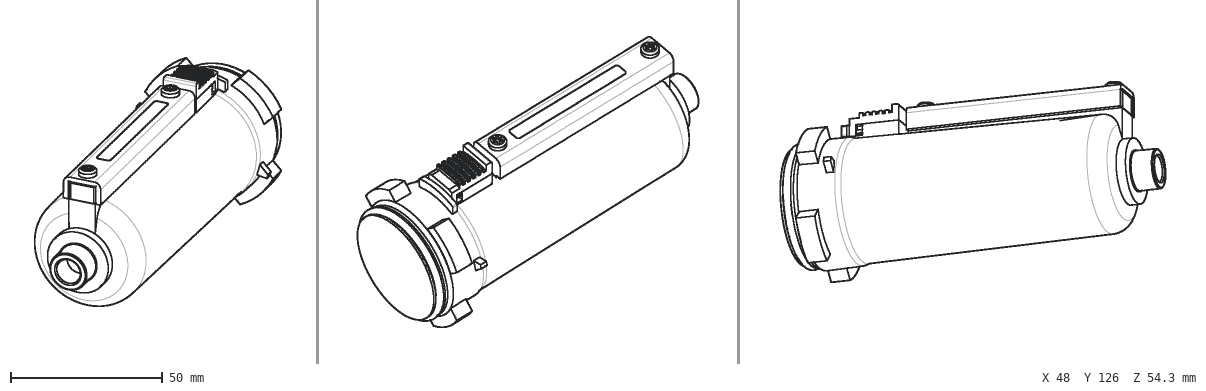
import cadquery as cq
import math

LENGTH = 126.0

SPOUT_RADIUS = 6.7
SPOUT_CHAMFER = 0.4
SPOUT_COLLAR_RADIUS = 6.9
SPOUT_COLLAR_LENGTH = 0.4
BORE_RADIUS = 8.6 / 2
BORE_CHAMFER = 0.5
BORE_DEPTH = 8.8
FLANGE_RADIUS = 22.0 / 2
FLANGE_START = 8.0
FLANGE_END = 11.2
DOME_RADIUS = 15.9
DOME_Y = 12.7
DOME_SIDE_Y = 18.4
DOME_TURN = math.radians(73)
WALL_RADIUS_LOW = 19.9
WALL_RADIUS_HIGH = 41.7 / 2
SHOULDER_START = 104.3
SHOULDER_END = 106.2
COLLAR_RADIUS = 43.3 / 2
COLLAR_RADIUS_LOW = 21.4
NECK_TAPER_START = 119.3
NECK_TAPER_END = 121.0
NECK_RADIUS = 20.7
LIP_RADIUS = 39.0 / 2

GROOVE_RADIUS = 37.9 / 2
GROOVE_START = 122.0
GROOVE_END = 125.1
RING_SECTION_RADIUS = 1.3
RING_OUTER_RADIUS = 21.0
RING_Y = 123.6

LUG_RADIUS = 25.8
LUG_WIDTH = 16.9
LUG_BAR_ANGLES = (45, 135)
LUG_START = 112.5
LUG_END = 119.2
EAR_START = 106.7
EAR_END = 109.2
EAR_SPAN = 48.0
EAR_TIP = [(-EAR_SPAN / 2, 7.0), (-23.5, 8.6)]
EAR_ROOT = [(-20.2, 8.0), (-20.2, 3.0)]

RAIL_START = FLANGE_END
RAIL_END = 86.4
RAIL_WIDTH = 13.5
RAIL_TOP = 29.0
RAIL_BOTTOM = 20.9
RAIL_ROUND = 2.3
PILLAR_WIDTH = 9.6
CHANNEL_WIDTH = 10.1
CHANNEL_TOP = 27.3
CHANNEL_DEPTH = 1.3
INSERT_WIDTH = 9.5
INSERT_CHAMFER = 0.5
INSERT_SETBACK = 0.1
WINDOW_WIDTH = 5.0
WINDOW_START = 27.8
WINDOW_END = 75.1
WINDOW_ROUND = 1.0
WINDOW_DEPTH = 0.1

SCREW_Y = [15.8, 81.8]
SCREW_RADIUS = 6.0 / 2
SCREW_TOP = 31.1
SCREW_CHAMFER = 0.8
SOCKET_RADIUS = 1.0
SOCKET_LOBES = 6
LOBE_RADIUS = 0.44
LOBE_DISTANCE = 1.3
FIRST_LOBE_ANGLE = 90
SOCKET_DEPTH = 1.0

LATCH_WIDTH = 11.8
BOSS_START = 89.2
BOSS_END = 102.0
BOSS_TOP = 24.7
BOSS_BASE_TOP = 20.8
LEG_START = 104.5
LEG_END = 106.6
LEG_TOP = 27.5
LEG_CHAMFER_WIDTH = 1.5
LEG_CHAMFER_HEIGHT = 0.5
CORE_WIDTH = 8.1
GRIP_WALL_END = 91.7
GRIP_WALL_TOP = 30.4
GRIP_WALL_ROUND = 0.8
GRIP_END = 103.2
GRIP_FLOOR_RADIUS = 28.2
TOOTH_RADIUS = 29.2
TOOTH_COUNT = 5
TOOTH_LENGTH = 1.3
TOOTH_PITCH = 2.3
TOOTH_CHAMFER = 0.3
TAB_WIDTH = 17.1
TAB_END = 108.5
TAB_TOP_RADIUS = 25.3
TAB_ROUND = 0.5
TONGUE_WIDTH = 10.1
TONGUE_BOTTOM = 21.9
TONGUE_TOP = 23.0


def cylinder(radius, start, end):
    """Solid cylinder around the bowl axis, between two places along Y."""
    return cq.Workplane("XZ", origin=(0, start, 0)).circle(radius).extrude(start - end)


def block(width, start, end, bottom, top):
    """Box centred on X = 0, given by its Y and Z limits."""
    floor = cq.Workplane("XY", origin=(0, start, bottom))
    return floor.box(width, end - start, top - bottom, centered=(True, False, False))


def crowned_block(width, start, end, bottom, top_radius):
    """Box whose top follows a cylinder around the bowl axis."""
    return block(width, start, end, bottom, top_radius).intersect(cylinder(top_radius, start, end))


def make_bowl_shell():
    """Turned body of the bowl, with the drain bore in its spout."""
    turn_radius = (DOME_SIDE_Y - DOME_Y) / math.sin(DOME_TURN)
    half_turn = DOME_TURN / 2
    dome_middle = (
        WALL_RADIUS_LOW - turn_radius * (1 - math.cos(half_turn)),
        DOME_SIDE_Y - turn_radius * math.sin(half_turn),
    )
    collar_end = FLANGE_START - SPOUT_COLLAR_LENGTH
    shell = (
        cq.Workplane("XY")
        .moveTo(0, 0)
        .lineTo(SPOUT_RADIUS - SPOUT_CHAMFER, 0)
        .lineTo(SPOUT_RADIUS, SPOUT_CHAMFER)
        .lineTo(SPOUT_RADIUS, collar_end)
        .lineTo(SPOUT_COLLAR_RADIUS, collar_end)
        .lineTo(SPOUT_COLLAR_RADIUS, FLANGE_START)
        .lineTo(FLANGE_RADIUS, FLANGE_START)
        .lineTo(FLANGE_RADIUS, FLANGE_END)
        .lineTo(DOME_RADIUS, DOME_Y)
        .threePointArc(dome_middle, (WALL_RADIUS_LOW, DOME_SIDE_Y))
        .lineTo(WALL_RADIUS_HIGH, SHOULDER_START)
        .lineTo(COLLAR_RADIUS_LOW, SHOULDER_END)
        .lineTo(COLLAR_RADIUS, NECK_TAPER_START)
        .lineTo(NECK_RADIUS, NECK_TAPER_END)
        .lineTo(NECK_RADIUS, GROOVE_START)
        .lineTo(GROOVE_RADIUS, GROOVE_START)
        .lineTo(GROOVE_RADIUS, GROOVE_END)
        .lineTo(LIP_RADIUS, GROOVE_END)
        .lineTo(LIP_RADIUS, LENGTH)
        .lineTo(0, LENGTH)
        .close()
        .revolve(360, (0, 0, 0), (0, 1, 0))
    )
    bore = cylinder(BORE_RADIUS, 0, BORE_DEPTH)
    mouth = (
        cq.Workplane("XY")
        .polyline([(0, 0), (BORE_RADIUS + BORE_CHAMFER, 0), (BORE_RADIUS, BORE_CHAMFER), (0, BORE_CHAMFER)])
        .close()
        .revolve(360, (0, 0, 0), (0, 1, 0))
    )
    return shell.cut(bore).cut(mouth)


def make_lugs():
    """Four lugs, formed by two crossed bars trimmed to a cylinder."""
    cross = cq.Workplane("XY")
    for angle in LUG_BAR_ANGLES:
        bar = block(2 * LUG_RADIUS, LUG_START, LUG_END, -LUG_WIDTH / 2, LUG_WIDTH / 2)
        cross = cross.add(bar.rotate((0, 0, 0), (0, 1, 0), angle))
    return cross.combine().intersect(cylinder(LUG_RADIUS, LUG_START, LUG_END))


def make_ears():
    """Two locking ears on opposite sides of the collar."""
    ear = cq.Workplane("XZ", origin=(0, EAR_START, 0)).polyline(EAR_TIP + EAR_ROOT).close()
    ear = ear.extrude(EAR_START - EAR_END)
    return ear.union(ear.rotate((0, 0, 0), (0, 1, 0), 180))


def make_screw_head(y):
    """Chamfered screw head with a lobed socket."""
    head = cq.Workplane("XY", origin=(0, y, RAIL_TOP)).circle(SCREW_RADIUS).extrude(SCREW_TOP - RAIL_TOP)
    head = head.faces(">Z").chamfer(SCREW_CHAMFER)
    floor = cq.Workplane("XY", origin=(0, y, SCREW_TOP - SOCKET_DEPTH))
    socket = floor.circle(SOCKET_RADIUS).extrude(SOCKET_DEPTH)
    lobes = floor.polarArray(LOBE_DISTANCE, FIRST_LOBE_ANGLE, 360, SOCKET_LOBES).circle(LOBE_RADIUS)
    lobes = lobes.extrude(SOCKET_DEPTH)
    return head.cut(socket.union(lobes))


def make_gauge_rail():
    """Rounded cover on a narrower pillar, with a window, a framed end insert and two screw heads."""
    cover = block(RAIL_WIDTH, RAIL_START, RAIL_END, RAIL_BOTTOM, RAIL_TOP)
    cover = cover.edges("|Y and >Z").fillet(RAIL_ROUND)
    channel = block(CHANNEL_WIDTH, RAIL_START, RAIL_START + CHANNEL_DEPTH, RAIL_BOTTOM, CHANNEL_TOP)
    insert_start = RAIL_START + INSERT_SETBACK
    insert = block(INSERT_WIDTH, insert_start, RAIL_START + CHANNEL_DEPTH, RAIL_BOTTOM, CHANNEL_TOP)
    insert = insert.faces("<Y").edges("not <Z").chamfer(INSERT_CHAMFER)
    window = block(WINDOW_WIDTH, WINDOW_START, WINDOW_END, RAIL_TOP - WINDOW_DEPTH, RAIL_TOP)
    window = window.edges("|Z").fillet(WINDOW_ROUND)
    pillar = block(PILLAR_WIDTH, RAIL_START, RAIL_END, 0, RAIL_BOTTOM)
    rail = cover.cut(channel).union(insert).cut(window).union(pillar)
    for y in SCREW_Y:
        rail = rail.union(make_screw_head(y))
    return rail


def make_boss():
    """Block that carries the latch, with a low base reaching under the latch leg."""
    base = block(LATCH_WIDTH, BOSS_START, LEG_END, 0, BOSS_BASE_TOP)
    return base.union(block(LATCH_WIDTH, BOSS_START, BOSS_END, 0, BOSS_TOP))


def make_bowl():
    """Bowl with everything that is fixed to it."""
    bowl = make_bowl_shell()
    for feature in (make_lugs(), make_ears(), make_gauge_rail(), make_boss()):
        bowl = bowl.union(feature)
    return bowl


def make_o_ring():
    """Round-section ring whose inner side lies flat on the groove floor."""
    floor_depth = RING_OUTER_RADIUS - RING_SECTION_RADIUS - GROOVE_RADIUS
    half_flat = math.sqrt(RING_SECTION_RADIUS**2 - floor_depth**2)
    return (
        cq.Workplane("XY")
        .moveTo(GROOVE_RADIUS, RING_Y - half_flat)
        .threePointArc((RING_OUTER_RADIUS, RING_Y), (GROOVE_RADIUS, RING_Y + half_flat))
        .close()
        .revolve(360, (0, 0, 0), (0, 1, 0))
    )


def make_grip():
    """Ribbed thumb grip with a raised wall at its end."""
    grip = crowned_block(LATCH_WIDTH, BOSS_START, GRIP_END, BOSS_TOP, GRIP_FLOOR_RADIUS)
    wall = block(LATCH_WIDTH, BOSS_START, GRIP_WALL_END, BOSS_TOP, GRIP_WALL_TOP)
    grip = grip.union(wall.edges("<Y and >Z").fillet(GRIP_WALL_ROUND))
    for index in range(TOOTH_COUNT):
        tooth_end = GRIP_END - index * TOOTH_PITCH
        tooth = crowned_block(LATCH_WIDTH, tooth_end - TOOTH_LENGTH, tooth_end, BOSS_TOP, TOOTH_RADIUS)
        grip = grip.union(tooth.edges("%CIRCLE").chamfer(TOOTH_CHAMFER))
    return grip


def make_leg():
    """Leg in front of the boss, with a narrow core and a tongue reaching back to the boss."""
    top = block(LATCH_WIDTH, GRIP_END, LEG_END, BOSS_TOP, LEG_TOP)
    top = top.faces(">Z").edges("|Y").chamfer(LEG_CHAMFER_HEIGHT, LEG_CHAMFER_WIDTH)
    bridge = block(LATCH_WIDTH, BOSS_END, GRIP_END, BOSS_TOP, LEG_TOP - LEG_CHAMFER_HEIGHT)
    leg = block(LATCH_WIDTH, LEG_START, LEG_END, BOSS_BASE_TOP, BOSS_TOP)
    core = block(CORE_WIDTH, BOSS_END, LEG_START, BOSS_BASE_TOP, BOSS_TOP)
    tongue = block(TONGUE_WIDTH, BOSS_END, LEG_START, TONGUE_BOTTOM, TONGUE_TOP)
    return top.union(bridge).union(leg).union(core).union(tongue)


def make_tab():
    """Curved cross tab that rests on the bowl collar."""
    tab = crowned_block(TAB_WIDTH, LEG_END, TAB_END, 0, TAB_TOP_RADIUS)
    tab = tab.cut(cylinder(COLLAR_RADIUS, LEG_END, TAB_END))
    return tab.edges("|Y").fillet(TAB_ROUND)


def make_latch(bowl):
    """Latch button, fitted to the bowl surface below it."""
    return make_grip().union(make_leg()).union(make_tab()).cut(bowl)


bowl = make_bowl()
o_ring = make_o_ring()
latch = make_latch(bowl)

result = cq.Compound.makeCompound([bowl.val(), o_ring.val(), latch.val()])